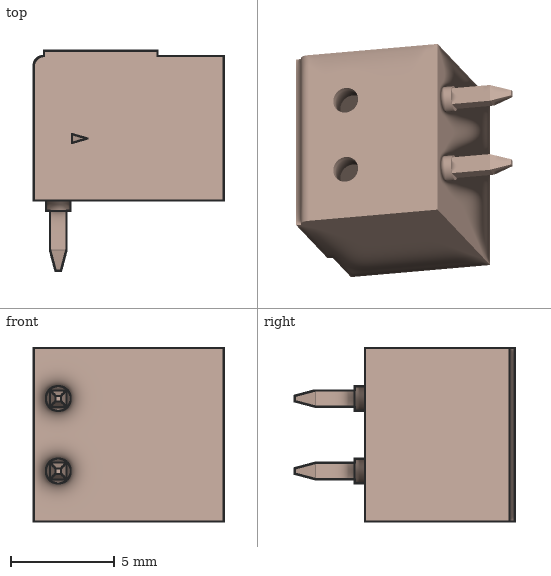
import cadquery as cq

body_length = 9.2
body_depth = 7.0
body_height = 8.4
corner_radius = 0.5

pad_start = 0.5
pad_end = 6.0
overall_depth = 10.65

pole_pitch = 3.5
pole_heights = (-pole_pitch / 2, pole_pitch / 2)

pin_x = 1.19
pin_length = 3.4
collar_diameter = 1.2
collar_length = 0.5
pin_width = 0.8
tip_length = 1.0
tip_width = 0.27

hole_diameter = 1.25
hole_depth = 1.25
hole_y = 4.62

mark_base_x = 1.85
mark_length = 0.75
mark_width = 0.43
mark_y = 3.0
mark_depth = 0.1

pad_thickness = overall_depth - pin_length - body_depth


def upright_block(length, depth):
    """Full-height block with its corner at X = 0, Y = 0 and centred in Z."""
    return cq.Workplane("XY").box(length, depth, body_height, centered=(False, False, True))


def make_housing():
    block = upright_block(body_length, body_depth).edges("|Z and <X and >Y").fillet(corner_radius)
    pad = upright_block(pad_end - pad_start, body_depth + pad_thickness).translate((pad_start, 0, 0))
    return block.union(pad)


def make_pin(height):
    """Round collar, square shank and tapered tip, running toward -Y."""
    root = cq.Workplane("XZ", origin=(pin_x, 0, height))
    collar = root.circle(collar_diameter / 2).extrude(collar_length)
    shank_length = pin_length - tip_length
    shank = root.rect(pin_width, pin_width).extrude(shank_length)
    tip = (
        root.workplane(offset=shank_length)
        .rect(pin_width, pin_width)
        .workplane(offset=tip_length)
        .rect(tip_width, tip_width)
        .loft(ruled=True)
    )
    return collar.union(shank).union(tip)


def make_hole(height):
    face = cq.Workplane("YZ", origin=(0, hole_y, height))
    return face.circle(hole_diameter / 2).extrude(hole_depth)


def make_mark():
    return (
        cq.Workplane("XY", origin=(mark_base_x, mark_y, body_height / 2))
        .moveTo(0, -mark_width / 2)
        .lineTo(mark_length, 0)
        .lineTo(0, mark_width / 2)
        .close()
        .extrude(-mark_depth)
    )


result = make_housing().cut(make_mark())
for pole_height in pole_heights:
    result = result.union(make_pin(pole_height)).cut(make_hole(pole_height))